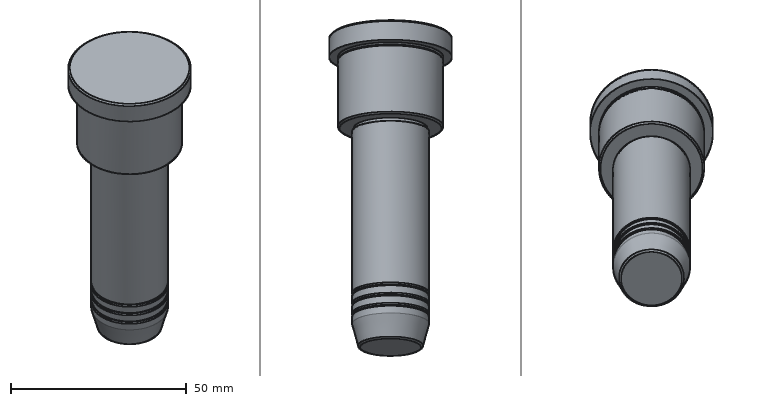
import cadquery as cq
import math

total_length = 92.0
head_radius = 17.5
head_thickness = 6.0
body_radius = 15.0
body_bottom_z = 64.95
shank_diameter = 22.0
shank_radius = shank_diameter / 2

edge_chamfer = 0.5
undercut_depth = 0.5
undercut_width = 1.0

taper_top_z = 7.0
taper_angle = 15.0
tip_chamfer = 0.5

groove_count = 3
lowest_groove_top_z = 9.9
groove_pitch = 3.0
groove_width = 0.9
groove_depth = 0.3

head_bottom_z = total_length - head_thickness
tip_radius = shank_radius - taper_top_z * math.tan(math.radians(taper_angle))


def cylinder(radius, bottom_z, top_z):
    return cq.Workplane("XY").workplane(offset=bottom_z).circle(radius).extrude(top_z - bottom_z)


def square_ring(outer_radius, depth, bottom_z, width):
    """Square-sided ring to remove from a cylinder."""
    band = cylinder(outer_radius + depth, bottom_z, bottom_z + width)
    return band.cut(cylinder(outer_radius - depth, bottom_z, bottom_z + width))


def vee_ring(outer_radius, depth, bottom_z, width):
    """V-section ring to remove from a cylinder, deepest at mid-width."""
    return (
        cq.Workplane("XZ")
        .polyline([
            (outer_radius, bottom_z),
            (outer_radius - depth, bottom_z + width / 2),
            (outer_radius, bottom_z + width),
        ])
        .close()
        .revolve(360, (0, 0), (0, 1))
    )


def make_head():
    head = cylinder(head_radius, head_bottom_z, total_length)
    return head.faces(">Z").chamfer(edge_chamfer)


def make_body():
    body = cylinder(body_radius, body_bottom_z, head_bottom_z)
    body = body.faces("<Z").chamfer(edge_chamfer)
    undercut_bottom_z = head_bottom_z - undercut_width
    return body.cut(vee_ring(body_radius, undercut_depth, undercut_bottom_z, undercut_width))


def make_tip():
    tip = (
        cq.Workplane("XZ")
        .polyline([(0, 0), (tip_radius, 0), (shank_radius, taper_top_z), (0, taper_top_z)])
        .close()
        .revolve(360, (0, 0), (0, 1))
    )
    return tip.faces("<Z").chamfer(tip_chamfer)


def make_shank():
    shank = cylinder(shank_radius, taper_top_z, body_bottom_z)
    undercut_bottom_z = body_bottom_z - undercut_width
    shank = shank.cut(square_ring(shank_radius, undercut_depth, undercut_bottom_z, undercut_width))
    for index in range(groove_count):
        groove_bottom_z = lowest_groove_top_z - groove_width + index * groove_pitch
        shank = shank.cut(vee_ring(shank_radius, groove_depth, groove_bottom_z, groove_width))
    return shank


result = make_head().union(make_body()).union(make_shank()).union(make_tip())